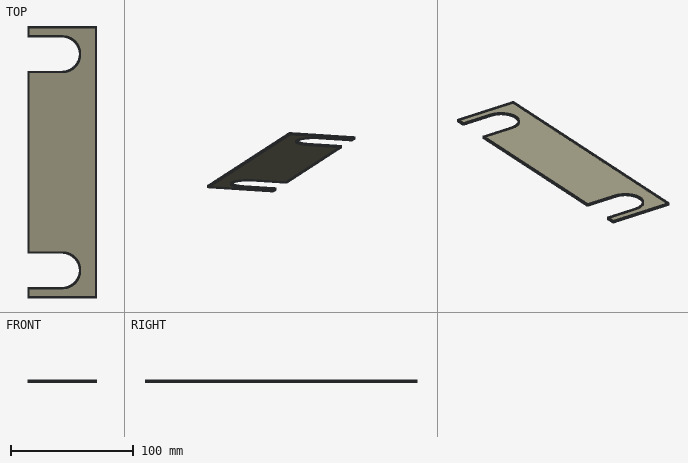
import cadquery as cq

plate_width = 55.0
plate_length = 220.0
plate_thickness = 1.0

slot_width = 28.8
slot_pitch = 176.0
slot_arc_center_x = 0.0

slot_radius = slot_width / 2
open_edge_x = -plate_width / 2


def make_plate():
    return cq.Workplane("XY").rect(plate_width, plate_length).extrude(plate_thickness)


def make_slot_cutter(center_y):
    """Solid filling one slot, from the open edge to its round end."""
    bottom_y = center_y - slot_radius
    top_y = center_y + slot_radius
    return (
        cq.Workplane("XY")
        .moveTo(open_edge_x, bottom_y)
        .lineTo(slot_arc_center_x, bottom_y)
        .threePointArc(
            (slot_arc_center_x + slot_radius, center_y),
            (slot_arc_center_x, top_y),
        )
        .lineTo(open_edge_x, top_y)
        .close()
        .extrude(plate_thickness)
    )


result = make_plate()
for side in (-1, 1):
    result = result.cut(make_slot_cutter(side * slot_pitch / 2))